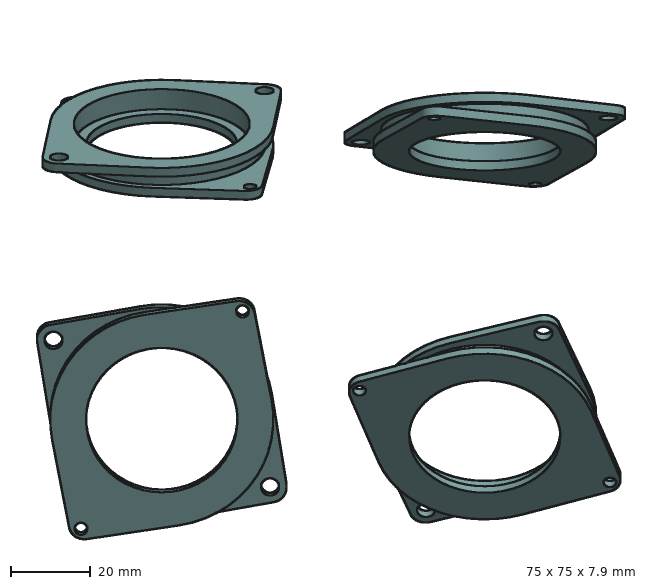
import cadquery as cq
import math

span = 75.0
height = 7.9
plate_thickness = 2.4

rim_radius = 56.0 / 2
neck_radius = 26.1
seat_radius = 22.05
bore_radius = 19.0
seat_floor = plate_thickness

tip_radius = 4.0
lower_hole_diameter = 3.15
lower_hole_offset = 35.0
upper_hole_diameter = 4.5
upper_hole_offset = 33.3


def eared_plate(hole_offset, hole_diameter):
    """Disc drawn out along +X and -X into rounded ears, each with a hole."""
    tip_centre = span / 2 - tip_radius
    tangent_angle = math.acos((rim_radius - tip_radius) / tip_centre)
    cos_t = math.cos(tangent_angle)
    sin_t = math.sin(tangent_angle)
    rim_x = rim_radius * cos_t
    rim_y = rim_radius * sin_t
    tip_x = tip_centre + tip_radius * cos_t
    tip_y = tip_radius * sin_t
    return (
        cq.Workplane("XY")
        .moveTo(rim_x, rim_y)
        .lineTo(tip_x, tip_y)
        .threePointArc((span / 2, 0), (tip_x, -tip_y))
        .lineTo(rim_x, -rim_y)
        .threePointArc((0, -rim_radius), (-rim_x, -rim_y))
        .lineTo(-tip_x, -tip_y)
        .threePointArc((-span / 2, 0), (-tip_x, tip_y))
        .lineTo(-rim_x, rim_y)
        .threePointArc((0, rim_radius), (rim_x, rim_y))
        .close()
        .extrude(plate_thickness)
        .faces(">Z")
        .workplane(origin=(0, 0, 0))
        .pushPoints([(-hole_offset, 0), (hole_offset, 0)])
        .hole(hole_diameter)
    )


lower_plate = eared_plate(lower_hole_offset, lower_hole_diameter)
upper_plate = (
    eared_plate(upper_hole_offset, upper_hole_diameter)
    .rotate((0, 0, 0), (0, 0, 1), 90)
    .translate((0, 0, height - plate_thickness))
)
neck = cq.Workplane("XY").circle(neck_radius).extrude(height)

bore = cq.Workplane("XY").circle(bore_radius).extrude(height)
seat = (
    cq.Workplane("XY")
    .workplane(offset=seat_floor)
    .circle(seat_radius)
    .extrude(height - seat_floor)
)

result = lower_plate.union(neck).union(upper_plate).cut(bore).cut(seat)